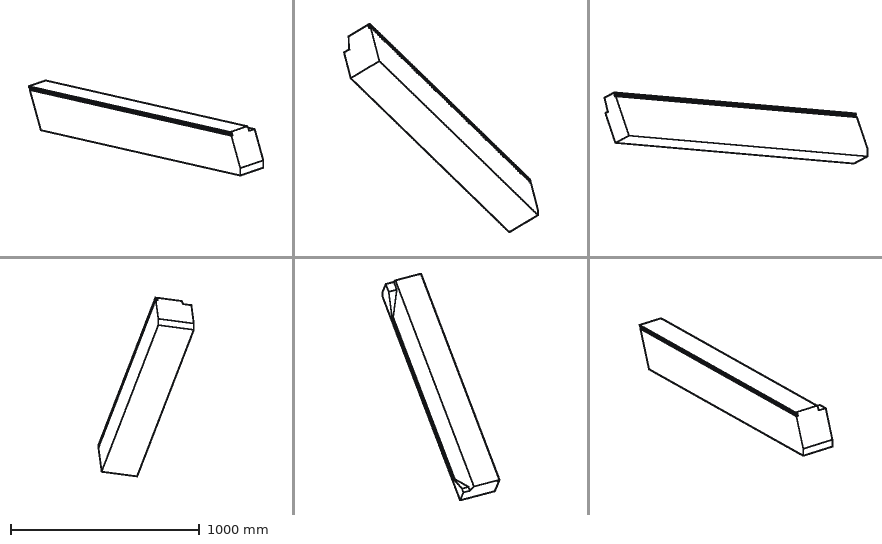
import cadquery as cq
import math

LENGTH = 1448.8
WIDTH = 193.68
HEIGHT = 228.6
END_SLOPE = math.tan(math.radians(20))
LEDGE_HEIGHT = 41.3
TOP_LENGTH = LENGTH - (HEIGHT - LEDGE_HEIGHT) * END_SLOPE

LEDGE_WIDTH = 6.35
BACK_SETBACK = 50.8

GROOVE_TOP = HEIGHT - 8.6
GROOVE_BOTTOM = HEIGHT - 19.8
GROOVE_DEPTH = 11.0

LEFT_RIB_DROP = 71.0
LEFT_RIB_LAND = 21.0
LEFT_RIB_FALL = math.tan(math.radians(40))
RIGHT_RIB_DROP = 25.4
RIGHT_RIB_TOP_LENGTH = 52.5


def prism_from_back(points, depth):
    """Extrude an XZ outline forwards from the back plane."""
    return cq.Workplane("XZ", origin=(0, WIDTH, 0)).polyline(points).close().extrude(depth)


def left_end_x(height):
    """X of the leaning left end at a given height."""
    return (HEIGHT - height) * END_SLOPE


def right_end_x(height):
    """X of the leaning right end at a given height."""
    return TOP_LENGTH + (HEIGHT - height) * END_SLOPE


def end_envelope():
    """Full-width block with leaning ends, the right one square below the ledge level."""
    outline = [
        (left_end_x(HEIGHT), HEIGHT),
        (TOP_LENGTH, HEIGHT),
        (LENGTH, LEDGE_HEIGHT),
        (LENGTH, 0),
        (left_end_x(0), 0),
    ]
    return prism_from_back(outline, WIDTH)


def beam():
    """Constant section with the back ledge, the leaning back face and the front groove."""
    section = [
        (0, 0),
        (WIDTH, 0),
        (WIDTH, LEDGE_HEIGHT),
        (WIDTH - LEDGE_WIDTH, LEDGE_HEIGHT),
        (WIDTH - BACK_SETBACK, HEIGHT),
        (0, HEIGHT),
        (0, GROOVE_TOP),
        (GROOVE_DEPTH, GROOVE_TOP),
        (GROOVE_DEPTH, GROOVE_BOTTOM),
        (0, GROOVE_BOTTOM),
    ]
    return cq.Workplane("YZ").polyline(section).close().extrude(LENGTH)


def left_rib():
    """Rib with a land rising square to the left end, then sloping down to the ledge."""
    start_height = HEIGHT - LEFT_RIB_DROP
    start_x = left_end_x(start_height)
    ridge_x = start_x + LEFT_RIB_LAND
    ridge_height = start_height + LEFT_RIB_LAND * END_SLOPE
    outline = [
        (start_x, start_height),
        (ridge_x, ridge_height),
        (ridge_x + (ridge_height - LEDGE_HEIGHT) / LEFT_RIB_FALL, LEDGE_HEIGHT),
        (left_end_x(LEDGE_HEIGHT), LEDGE_HEIGHT),
    ]
    return prism_from_back(outline, BACK_SETBACK)


def right_rib():
    """Flat-topped rib whose inner side leans opposite to the right end."""
    top_height = HEIGHT - RIGHT_RIB_DROP
    outer_x = right_end_x(top_height)
    inner_x = outer_x - RIGHT_RIB_TOP_LENGTH
    outline = [
        (inner_x, top_height),
        (outer_x, top_height),
        (LENGTH, LEDGE_HEIGHT),
        (inner_x - (top_height - LEDGE_HEIGHT) * END_SLOPE, LEDGE_HEIGHT),
    ]
    return prism_from_back(outline, BACK_SETBACK)


result = beam().intersect(end_envelope()).union(left_rib()).union(right_rib())